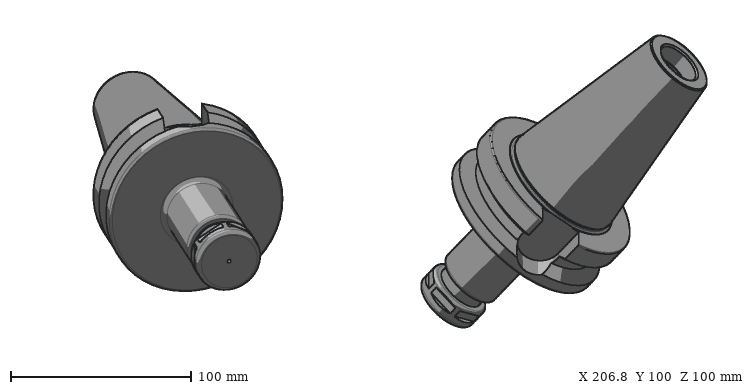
import cadquery as cq
import math

TOTAL_LENGTH = 206.8

TAPER_RATIO = 7 / 24
GAUGE_X = 101.7
GAUGE_RADIUS = 70.0 / 2
SHANK_EDGE_CHAMFER = 0.6
RELIEF_RADIUS = 34.5
RELIEF_START_X = 102.8
RELIEF_FILLET = 0.6
SHOULDER_X = 104.5
SHOULDER_RADIUS = 36.5

FLANGE_START_X = 104.8
FLANGE_END_X = 139.8
FLANGE_RADIUS = 100.0 / 2
REAR_COLLAR_RADIUS = 49.8
REAR_EDGE_FILLET = 0.8
FRONT_EDGE_FILLET = 1.5
GROOVE_RADIUS = 42.0
GROOVE_MIDDLE_X = 124.7
GROOVE_FLOOR_WIDTH = 6.2
GROOVE_TOP_WIDTH = 15.0

SLOT_WIDTH = 25.6
SLOT_END_X = 135.9
SLOT_FLOOR_Z = 35.4

NOSE_RADIUS = 36.0 / 2
NOSE_END_X = 185.7
NOSE_ROOT_FILLET = 2.9
NOSE_END_FILLET = 1.9
NECK_RADIUS = 28.0 / 2

NUT_START_X = 193.0
NUT_RADIUS = 37.0 / 2
NUT_REAR_FILLET = 1.9
NUT_FRONT_FILLET = 2.5
POCKET_COUNT = 6
POCKET_FLOOR_RADIUS = 16.8
POCKET_FLOOR_START_X = 195.8
POCKET_FLOOR_END_X = 200.4
POCKET_REAR_SPREAD = 1.5
POCKET_FRONT_SPREAD = 0.8

MOUTH_RADIUS = 26.9 / 2
ENTRY_RADIUS = 12.5
ENTRY_DEPTH = 10.3
LAND_RADIUS = 11.8
LAND_LENGTH = 1.5
THREAD_RADIUS = 21.0 / 2
BORE_DEPTH = 62.0
BORE_CONE_ANGLE = 60.0
BORE_BOTTOM_RADIUS = 15.7 / 2
COOLANT_ENTRY_RADIUS = 5.0 / 2
COOLANT_ENTRY_DEPTH = 4.1
COOLANT_RADIUS = 2.0 / 2


def revolve_about_x(profile):
    """Turn a closed (x, radius) profile about the X axis."""
    return profile.close().revolve(360, (0, 0, 0), (1, 0, 0))


def make_body():
    shank_radius = GAUGE_RADIUS - GAUGE_X * TAPER_RATIO / 2
    groove_top_start = GROOVE_MIDDLE_X - GROOVE_TOP_WIDTH / 2
    groove_top_end = GROOVE_MIDDLE_X + GROOVE_TOP_WIDTH / 2
    groove_floor_start = GROOVE_MIDDLE_X - GROOVE_FLOOR_WIDTH / 2
    groove_floor_end = GROOVE_MIDDLE_X + GROOVE_FLOOR_WIDTH / 2
    profile = (
        cq.Workplane("XY")
        .moveTo(0, 0)
        .lineTo(0, shank_radius - SHANK_EDGE_CHAMFER)
        .lineTo(SHANK_EDGE_CHAMFER, shank_radius + SHANK_EDGE_CHAMFER * TAPER_RATIO / 2)
        .lineTo(GAUGE_X, GAUGE_RADIUS)
        .lineTo(RELIEF_START_X, RELIEF_RADIUS)
        .lineTo(SHOULDER_X - RELIEF_FILLET, RELIEF_RADIUS)
        .radiusArc((SHOULDER_X, RELIEF_RADIUS + RELIEF_FILLET), -RELIEF_FILLET)
        .lineTo(SHOULDER_X, SHOULDER_RADIUS)
        .lineTo(FLANGE_START_X, SHOULDER_RADIUS)
        .lineTo(FLANGE_START_X, REAR_COLLAR_RADIUS - REAR_EDGE_FILLET)
        .radiusArc((FLANGE_START_X + REAR_EDGE_FILLET, REAR_COLLAR_RADIUS), REAR_EDGE_FILLET)
        .lineTo(groove_top_start, REAR_COLLAR_RADIUS)
        .lineTo(groove_floor_start, GROOVE_RADIUS)
        .lineTo(groove_floor_end, GROOVE_RADIUS)
        .lineTo(groove_top_end, FLANGE_RADIUS)
        .lineTo(FLANGE_END_X - FRONT_EDGE_FILLET, FLANGE_RADIUS)
        .radiusArc((FLANGE_END_X, FLANGE_RADIUS - FRONT_EDGE_FILLET), FRONT_EDGE_FILLET)
        .lineTo(FLANGE_END_X, NOSE_RADIUS + NOSE_ROOT_FILLET)
        .radiusArc((FLANGE_END_X + NOSE_ROOT_FILLET, NOSE_RADIUS), -NOSE_ROOT_FILLET)
        .lineTo(NOSE_END_X - NOSE_END_FILLET, NOSE_RADIUS)
        .radiusArc((NOSE_END_X, NOSE_RADIUS - NOSE_END_FILLET), NOSE_END_FILLET)
        .lineTo(NOSE_END_X, NECK_RADIUS)
        .lineTo(NUT_START_X, NECK_RADIUS)
        .lineTo(NUT_START_X, NUT_RADIUS - NUT_REAR_FILLET)
        .radiusArc((NUT_START_X + NUT_REAR_FILLET, NUT_RADIUS), NUT_REAR_FILLET)
        .lineTo(TOTAL_LENGTH - NUT_FRONT_FILLET, NUT_RADIUS)
        .radiusArc((TOTAL_LENGTH, NUT_RADIUS - NUT_FRONT_FILLET), NUT_FRONT_FILLET)
        .lineTo(TOTAL_LENGTH, 0)
    )
    return revolve_about_x(profile)


def make_bore():
    """Stepped bore with conical transitions and a coolant hole right through."""
    cone_slope = math.tan(math.radians(BORE_CONE_ANGLE))
    mouth_chamfer = MOUTH_RADIUS - ENTRY_RADIUS
    land_end_x = ENTRY_DEPTH + LAND_LENGTH
    thread_start_x = land_end_x + (LAND_RADIUS - THREAD_RADIUS) / cone_slope
    bottom_x = BORE_DEPTH + (THREAD_RADIUS - BORE_BOTTOM_RADIUS) / cone_slope
    coolant_start_x = bottom_x + COOLANT_ENTRY_DEPTH
    profile = (
        cq.Workplane("XY")
        .moveTo(0, 0)
        .lineTo(0, MOUTH_RADIUS)
        .lineTo(mouth_chamfer, ENTRY_RADIUS)
        .lineTo(ENTRY_DEPTH, ENTRY_RADIUS)
        .lineTo(ENTRY_DEPTH, LAND_RADIUS)
        .lineTo(land_end_x, LAND_RADIUS)
        .lineTo(thread_start_x, THREAD_RADIUS)
        .lineTo(BORE_DEPTH, THREAD_RADIUS)
        .lineTo(bottom_x, BORE_BOTTOM_RADIUS)
        .lineTo(bottom_x, COOLANT_ENTRY_RADIUS)
        .lineTo(coolant_start_x, COOLANT_ENTRY_RADIUS)
        .lineTo(coolant_start_x, COOLANT_RADIUS)
        .lineTo(TOTAL_LENGTH, COOLANT_RADIUS)
        .lineTo(TOTAL_LENGTH, 0)
    )
    return revolve_about_x(profile)


def make_driving_slot(side):
    """Round-ended slot open to the rear of the flange; side is +1 (top) or -1 (bottom)."""
    half_width = SLOT_WIDTH / 2
    round_center_x = SLOT_END_X - half_width
    return (
        cq.Workplane("XY", origin=(0, 0, side * SLOT_FLOOR_Z))
        .moveTo(GAUGE_X, -half_width)
        .lineTo(round_center_x, -half_width)
        .threePointArc((SLOT_END_X, 0), (round_center_x, half_width))
        .lineTo(GAUGE_X, half_width)
        .close()
        .extrude(side * FLANGE_RADIUS)
    )


def make_nut_pocket(angle):
    """Flat-bottomed wrench pocket with sloped end walls, cut across the nut."""
    pocket = (
        cq.Workplane("XZ", origin=(0, NUT_RADIUS, 0))
        .moveTo(POCKET_FLOOR_START_X, POCKET_FLOOR_RADIUS)
        .lineTo(POCKET_FLOOR_END_X, POCKET_FLOOR_RADIUS)
        .lineTo(POCKET_FLOOR_END_X + POCKET_FRONT_SPREAD, NUT_RADIUS)
        .lineTo(POCKET_FLOOR_START_X - POCKET_REAR_SPREAD, NUT_RADIUS)
        .close()
        .extrude(2 * NUT_RADIUS)
    )
    return pocket.rotate((0, 0, 0), (1, 0, 0), angle)


result = make_body().cut(make_bore())

for side in (1, -1):
    result = result.cut(make_driving_slot(side))

for index in range(POCKET_COUNT):
    result = result.cut(make_nut_pocket(90 + index * 360 / POCKET_COUNT))